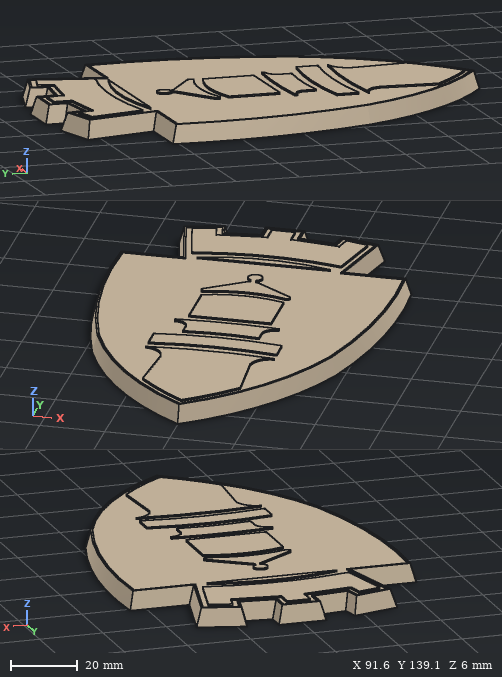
import cadquery as cq
import math

total_height = 6.0
relief_above_rim = 0.3
recess_depth = 0.21
rim_height = total_height - relief_above_rim
floor_height = rim_height - recess_depth
relief_height = total_height - floor_height

side_draft = 15.0
rim_width = 0.6
relief_margin = 3.9
draft_inset = rim_height * math.tan(math.radians(side_draft))
recess_inset = draft_inset + rim_width

shield_top_y = 111.4
shield_corner_x = 45.2
shield_side_mid = (43.3, 69.5)
shield_shoulder = (37.5, 46.6)
shield_lower_mid = (23.2, 21.4)

crown_base_x = 26.5
crown_corner = (31.7, 133.7)
outer_merlon_inner_corner = (17.0, 137.5)
notch_outer = (15.9, 132.1)
centre_merlon_x = 7.5
notch_inner_y = 133.1
crown_top_y = 139.1

crown_arch_end = (22.5, 113.6)
crown_arch_rise = 2.5

arch_half_width = 20.5
arch_y = 110.3
arch_rise = 2.9

ball_radius = 2.2
ball_y = 99.3
neck_half_width = 0.8
neck_bottom_y = 96.2
eave_top = (13.5, 87.5)
eave_outer = (13.5, 86.4)
eave_bottom = (12.5, 86.0)
eave_arch_rise = 2.1

lantern_half_width = 12.7
lantern_bottom_y = 67.0
lantern_side_top_y = 83.0
lantern_rise = 2.1

gallery_half_width = 16.0
gallery_top_y = 63.4
gallery_lip = 0.8
gallery_flare_mid = (13.1, 61.8)
gallery_wall_top = (11.7, 59.5)
gallery_bottom_y = 55.4
gallery_rise = 0.7

band_half_width = 19.7
band_bottom_y = 44.5
band_height = 6.8
band_rise = 1.5

tower_top = (19.7, 41.3)
tower_top_rise = 1.1
tower_flare_mid = (15.6, 39.5)
tower_wall_top = (13.8, 35.3)
tower_wall_bottom = (15.0, 17.8)


def mirrored(point):
    return (-point[0], point[1])


def plaque_outline():
    """Closed bottom outline of the shield and crown."""
    crown_left = [
        (-centre_merlon_x, crown_top_y),
        (-centre_merlon_x, notch_inner_y),
        mirrored(notch_outer),
        mirrored(outer_merlon_inner_corner),
        mirrored(crown_corner),
        (-crown_base_x, shield_top_y),
        (-shield_corner_x, shield_top_y),
    ]
    crown_right = [mirrored(point) for point in reversed(crown_left)]
    return (
        cq.Workplane("XY")
        .moveTo(0, 0)
        .threePointArc(shield_lower_mid, shield_shoulder)
        .threePointArc(shield_side_mid, crown_right[0])
        .polyline(crown_right[1:] + crown_left, includeCurrent=True)
        .threePointArc(mirrored(shield_side_mid), mirrored(shield_shoulder))
        .threePointArc(mirrored(shield_lower_mid), (0, 0))
        .close()
    )


def inset_outline(inset):
    """The plaque's outline moved inward with its corners kept sharp."""
    return plaque_outline().offset2D(-inset, "intersection")


def inset_block(inset, height):
    """Straight-sided block inside the plaque's outline, standing on the recess floor."""
    return inset_outline(inset).extrude(height).translate((0, 0, floor_height))


def floor_sketch():
    return cq.Workplane("XY").workplane(offset=floor_height)


def make_plaque():
    """Plaque with drafted sides and a shallow recess that leaves a narrow rim."""
    bottom_wire = plaque_outline().val()
    rim_wire = inset_outline(draft_inset).val().translate(cq.Vector(0, 0, rim_height))
    blank = cq.Solid.makeLoft([bottom_wire, rim_wire], True)
    return cq.Workplane(obj=blank).cut(inset_block(recess_inset, recess_depth))


def make_crown():
    """Crown relief, following the plaque's edge down to an arched lower edge."""
    end_x, end_y = crown_arch_end
    zone = (
        floor_sketch()
        .moveTo(-shield_corner_x, end_y)
        .lineTo(-end_x, end_y)
        .threePointArc((0, end_y + crown_arch_rise), crown_arch_end)
        .lineTo(shield_corner_x, end_y)
        .lineTo(shield_corner_x, crown_top_y)
        .lineTo(-shield_corner_x, crown_top_y)
        .close()
        .extrude(relief_height)
    )
    return inset_block(relief_margin, relief_height).intersect(zone)


def make_arch():
    return (
        floor_sketch()
        .moveTo(-arch_half_width, arch_y)
        .threePointArc((0, arch_y + arch_rise), (arch_half_width, arch_y))
        .close()
        .extrude(relief_height)
    )


def make_roof():
    """Pitched roof with rounded eaves and a ball on a short neck."""
    neck_top_y = ball_y - math.sqrt(ball_radius**2 - neck_half_width**2)
    return (
        floor_sketch()
        .moveTo(*mirrored(eave_bottom))
        .threePointArc((0, eave_bottom[1] + eave_arch_rise), eave_bottom)
        .threePointArc(eave_outer, eave_top)
        .lineTo(neck_half_width, neck_bottom_y)
        .lineTo(neck_half_width, neck_top_y)
        .threePointArc((0, ball_y + ball_radius), (-neck_half_width, neck_top_y))
        .lineTo(-neck_half_width, neck_bottom_y)
        .lineTo(*mirrored(eave_top))
        .threePointArc(mirrored(eave_outer), mirrored(eave_bottom))
        .close()
        .extrude(relief_height)
    )


def make_lantern():
    return (
        floor_sketch()
        .moveTo(-lantern_half_width, lantern_bottom_y)
        .lineTo(lantern_half_width, lantern_bottom_y)
        .lineTo(lantern_half_width, lantern_side_top_y)
        .threePointArc((0, lantern_side_top_y + lantern_rise), (-lantern_half_width, lantern_side_top_y))
        .close()
        .extrude(relief_height)
    )


def make_gallery():
    """Gallery with a thin lip that flares in to a narrower wall."""
    lip_top = (gallery_half_width, gallery_top_y)
    lip_bottom = (gallery_half_width, gallery_top_y - gallery_lip)
    wall_bottom = (gallery_wall_top[0], gallery_bottom_y)
    return (
        floor_sketch()
        .moveTo(*mirrored(wall_bottom))
        .threePointArc((0, gallery_bottom_y + gallery_rise), wall_bottom)
        .lineTo(*gallery_wall_top)
        .threePointArc(gallery_flare_mid, lip_bottom)
        .lineTo(*lip_top)
        .threePointArc((0, gallery_top_y + gallery_rise), mirrored(lip_top))
        .lineTo(*mirrored(lip_bottom))
        .threePointArc(mirrored(gallery_flare_mid), mirrored(gallery_wall_top))
        .close()
        .extrude(relief_height)
    )


def make_band():
    band_top_y = band_bottom_y + band_height
    return (
        floor_sketch()
        .moveTo(-band_half_width, band_bottom_y)
        .threePointArc((0, band_bottom_y + band_rise), (band_half_width, band_bottom_y))
        .lineTo(band_half_width, band_top_y)
        .threePointArc((0, band_top_y + band_rise), (-band_half_width, band_top_y))
        .close()
        .extrude(relief_height)
    )


def make_tower():
    """Flared tower whose foot follows the plaque's pointed edge."""
    foot = (tower_wall_bottom[0], 0)
    zone = (
        floor_sketch()
        .moveTo(*mirrored(foot))
        .lineTo(*foot)
        .lineTo(*tower_wall_bottom)
        .lineTo(*tower_wall_top)
        .threePointArc(tower_flare_mid, tower_top)
        .threePointArc((0, tower_top[1] + tower_top_rise), mirrored(tower_top))
        .threePointArc(mirrored(tower_flare_mid), mirrored(tower_wall_top))
        .lineTo(*mirrored(tower_wall_bottom))
        .close()
        .extrude(relief_height)
    )
    return inset_block(relief_margin, relief_height).intersect(zone)


plaque = make_plaque()
crown = make_crown()
arch = make_arch()
roof = make_roof()
lantern = make_lantern()
gallery = make_gallery()
band = make_band()
tower = make_tower()

result = cq.Compound.makeCompound([
    plaque.val(),
    crown.val(),
    arch.val(),
    roof.val(),
    lantern.val(),
    gallery.val(),
    band.val(),
    tower.val(),
])